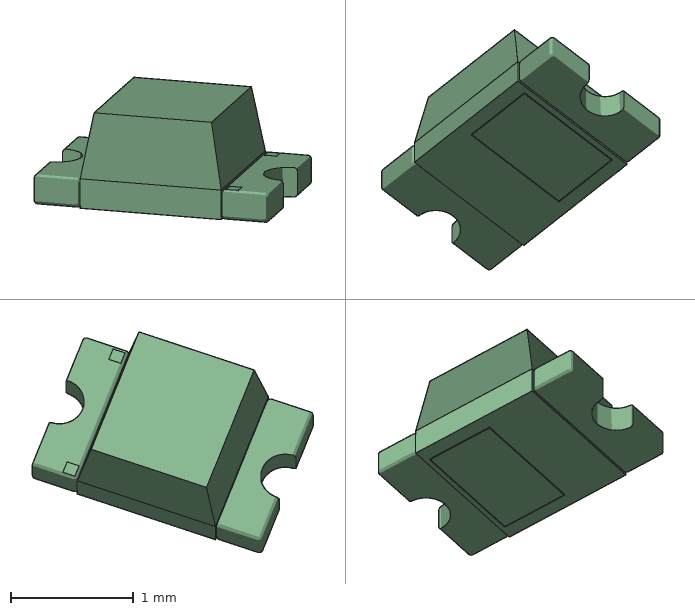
import cadquery as cq

base_length = 1.2
base_width = 1.25
base_height = 0.25

lens_height = 0.55
lens_top_length = 1.0
lens_top_width = 1.13

overall_length = 2.0
terminal_length = (overall_length - base_length) / 2
edge_radius = 0.032
notch_radius = 0.2
anode_notch_inset = 0.022
cathode_notch_inset = 0.018
notch_y = 0.003

corner_mark_length = 0.105
corner_mark_width = 0.1
corner_mark_thickness = 0.01

bottom_layer_count = 2
bottom_mark_length = 0.615
bottom_mark_width = 1.0
bottom_mark_thickness = 0.01
bottom_mark_start = -0.55
bottom_layer_thickness = bottom_mark_thickness / bottom_layer_count


def box(length, width, height, center_x, center_y, bottom_z):
    """Box centred on (center_x, center_y) that stands on bottom_z."""
    block = cq.Workplane("XY").box(length, width, height, centered=(True, True, False))
    return block.translate((center_x, center_y, bottom_z))


def make_base():
    return box(base_length, base_width, base_height, 0, 0, 0)


def make_lens():
    """Frustum that covers the whole top of the base and narrows upward."""
    return (
        cq.Workplane("XY")
        .workplane(offset=base_height)
        .rect(base_length, base_width)
        .workplane(offset=lens_height)
        .rect(lens_top_length, lens_top_width)
        .loft(ruled=True, combine=True)
    )


def make_terminal(side, notch_inset):
    """Rounded block at one end (side is -1 or +1) with a notch in its outer face."""
    center_x = side * (base_length + terminal_length) / 2
    block = box(terminal_length, base_width, base_height, center_x, 0, 0).edges().fillet(edge_radius)
    notch_x = side * (overall_length / 2 - notch_inset)
    notch = cq.Workplane("XY").center(notch_x, notch_y).circle(notch_radius).extrude(base_height)
    return block.cut(notch)


def make_corner_mark(side):
    """Thin square in the inner corner of the flat top of the +X terminal."""
    center_x = base_length / 2 + edge_radius + corner_mark_length / 2
    center_y = side * (base_width / 2 - edge_radius - corner_mark_width / 2)
    bottom_z = base_height - corner_mark_thickness
    return box(
        corner_mark_length, corner_mark_width, corner_mark_thickness,
        center_x, center_y, bottom_z,
    )


def make_bottom_layer(number):
    """Flat plate under the base; layer 1 touches the base and each next one lies below it."""
    center_x = bottom_mark_start + bottom_mark_length / 2
    return box(
        bottom_mark_length, bottom_mark_width, bottom_layer_thickness,
        center_x, 0, -number * bottom_layer_thickness,
    )


base = make_base()
lens = make_lens()
bottom_layers = [make_bottom_layer(number) for number in range(1, bottom_layer_count + 1)]
corner_marks = [make_corner_mark(side) for side in (-1, 1)]

anode = make_terminal(-1, anode_notch_inset)
cathode = make_terminal(1, cathode_notch_inset)
for mark in corner_marks:
    cathode = cathode.cut(mark)

result = cq.Compound.makeCompound(
    [
        base.val(),
        lens.val(),
        anode.val(),
        cathode.val(),
        *[mark.val() for mark in corner_marks],
        *[layer.val() for layer in bottom_layers],
    ]
)